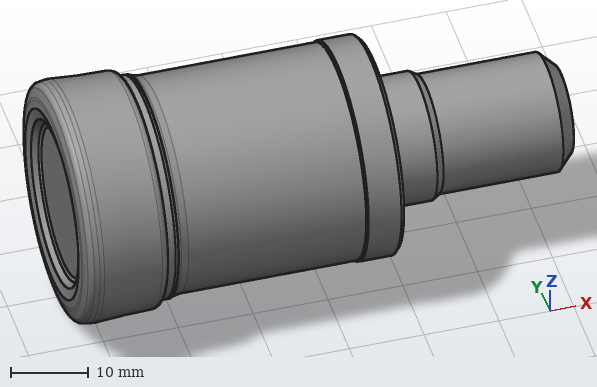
import cadquery as cq


rim_radius = 12.55
rim_outer_radius = 13.6
rim_outer_x = 0.1
face_inner_radius = 13.95
face_inner_x = 0.17
face_outer_radius = 15.15
face_outer_x = 0.5
nose_mid_radius = 15.55
nose_mid_x = 0.75
nose_outer_radius = 15.82
nose_outer_x = 1.2
crown_start_radius = 15.94
crown_start_x = 1.9
head_radius = 15.98
head_widest_x = 2.5
head_rear_radius = 15.63
head_taper_end_x = 10.3
head_rear_x = 11.3
rear_edge_mid_radius = 15.4
rear_edge_mid_x = 10.9
head_rear_edge_radius = 14.85

dish_radius = 11.1
dish_x = 0.36
wall_top_radius = 10.98
wall_top_x = 0.45
wall_foot_radius = 10.4
wall_foot_x = 1.15
floor_radius = 9.9
floor_x = 1.42

lip_radius = 29.4 / 2
lip_chamfer_x = 12.35
seam_x = 12.78
step_radius = 29.0 / 2
step_x = 13.2
barrel_radius = 28.6 / 2
barrel_front_x = 14.2
collar_radius = 29.0 / 2
collar_front_x = 38.2
collar_chamfer = 0.5
groove_width = 0.25
groove_depth = 0.2

total_length = 68.08
stud_length = 25.0
shoulder_x = total_length - stud_length
neck_radius = 17.0 / 2
undercut_radius = 8.3
undercut_start_x = shoulder_x + 0.45
undercut_end_x = shoulder_x + 1.2
neck_chamfer_x = shoulder_x + 6.0
neck_end_x = shoulder_x + 7.0
stud_radius = 15.75 / 2
stud_chamfer = 2.0


def revolve_about_x(outline):
    return outline.close().revolve(360, (0, 0, 0), (1, 0, 0))


def make_head():
    outline = (
        cq.Workplane("XY")
        .moveTo(0, rim_radius)
        .lineTo(rim_outer_x, rim_outer_radius)
        .lineTo(face_inner_x, face_inner_radius)
        .lineTo(face_outer_x, face_outer_radius)
        .threePointArc((nose_mid_x, nose_mid_radius), (nose_outer_x, nose_outer_radius))
        .lineTo(crown_start_x, crown_start_radius)
        .lineTo(head_widest_x, head_radius)
        .lineTo(head_taper_end_x, head_rear_radius)
        .threePointArc((rear_edge_mid_x, rear_edge_mid_radius), (head_rear_x, head_rear_edge_radius))
        .lineTo(head_rear_x, 0)
        .lineTo(floor_x, 0)
        .lineTo(floor_x, floor_radius)
        .lineTo(wall_foot_x, wall_foot_radius)
        .lineTo(wall_top_x, wall_top_radius)
        .lineTo(dish_x, dish_radius)
    )
    return revolve_about_x(outline)


def make_housing():
    outline = (
        cq.Workplane("XY")
        .moveTo(head_rear_x, 0)
        .lineTo(head_rear_x, lip_radius)
        .lineTo(lip_chamfer_x, lip_radius)
        .lineTo(seam_x, step_radius)
        .lineTo(seam_x, lip_radius)
        .lineTo(step_x, step_radius)
        .lineTo(barrel_front_x, barrel_radius)
        .lineTo(collar_front_x - groove_width, barrel_radius)
        .lineTo(collar_front_x - groove_width, barrel_radius - groove_depth)
        .lineTo(collar_front_x, barrel_radius - groove_depth)
        .lineTo(collar_front_x, collar_radius)
        .lineTo(shoulder_x - collar_chamfer, collar_radius)
        .lineTo(shoulder_x, collar_radius - collar_chamfer)
        .lineTo(shoulder_x, neck_radius)
        .lineTo(undercut_start_x, undercut_radius)
        .lineTo(undercut_end_x, neck_radius)
        .lineTo(neck_chamfer_x, neck_radius)
        .lineTo(neck_end_x, stud_radius)
        .lineTo(total_length - stud_chamfer, stud_radius)
        .lineTo(total_length, stud_radius - stud_chamfer)
        .lineTo(total_length, 0)
    )
    return revolve_about_x(outline)


head = make_head()
housing = make_housing()
result = cq.Compound.makeCompound([head.val(), housing.val()])